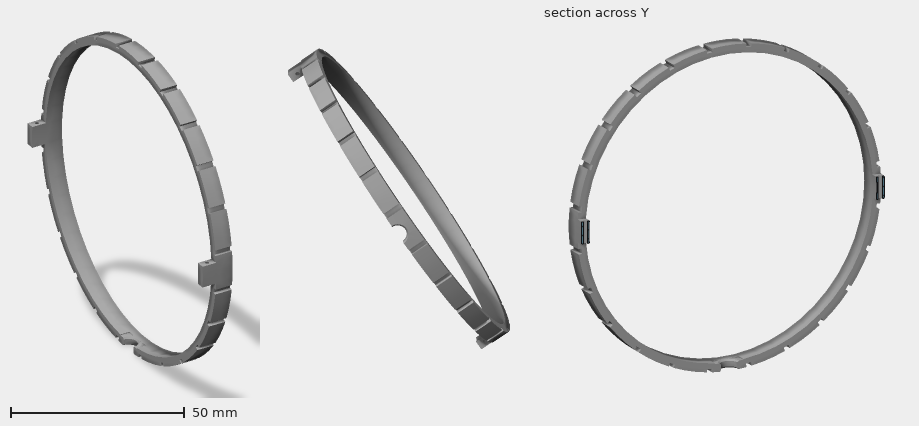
import cadquery as cq

OUTER_RADIUS = 49.1
INNER_RADIUS = 46.4
RING_WIDTH = 5.5

GROOVE_COUNT = 24
GROOVE_WIDTH = 1.7
GROOVE_DEPTH = 1.1

TAB_LENGTH = 4.5
TAB_HEIGHT = 6.9
PIN_HOLE_DIAMETER = 1.2
PIN_HOLE_FROM_END = 2.4
PIN_HOLE_RADIAL = 47.6

NOTCH_RADIUS = 2.65
NOTCH_CHAMFER = 0.5
SEAT_LENGTH = 9.2
SEAT_DEPTH = 3.0
SEAT_LEVEL = -INNER_RADIUS

WALL = OUTER_RADIUS - INNER_RADIUS


def annulus(front, back):
    """Plain ring between two Y positions."""
    return (
        cq.Workplane("XZ", origin=(0, back, 0))
        .circle(OUTER_RADIUS)
        .circle(INNER_RADIUS)
        .extrude(back - front)
    )


def grooves():
    """Evenly spaced straight cutters, offset half a pitch from the X and Z axes."""
    pitch = 360 / GROOVE_COUNT
    return (
        cq.Workplane("XZ", origin=(0, RING_WIDTH, 0))
        .polarArray(OUTER_RADIUS, pitch / 2, 360, GROOVE_COUNT)
        .rect(2 * GROOVE_DEPTH, GROOVE_WIDTH)
        .extrude(RING_WIDTH)
    )


def tabs():
    """Two forward extensions of the ring wall, each with a vertical pin hole."""
    band = cq.Workplane("XY").box(2 * OUTER_RADIUS, 2 * TAB_LENGTH, TAB_HEIGHT)
    holes = (
        cq.Workplane("XY", origin=(0, PIN_HOLE_FROM_END - TAB_LENGTH, -TAB_HEIGHT / 2))
        .pushPoints([(-PIN_HOLE_RADIAL, 0), (PIN_HOLE_RADIAL, 0)])
        .circle(PIN_HOLE_DIAMETER / 2)
        .extrude(TAB_HEIGHT)
    )
    return annulus(-TAB_LENGTH, 0).intersect(band).cut(holes)


def notch():
    """Flat seat on the inner surface and a vertical hole chamfered at both ends."""
    seat = cq.Workplane("XY", origin=(0, 0, SEAT_LEVEL)).rect(SEAT_LENGTH, 2 * SEAT_DEPTH)
    seat = seat.extrude(WALL)
    rim_radius = NOTCH_RADIUS + NOTCH_CHAMFER
    hole = (
        cq.Workplane("XZ")
        .moveTo(0, -OUTER_RADIUS)
        .lineTo(rim_radius, -OUTER_RADIUS)
        .lineTo(NOTCH_RADIUS, -OUTER_RADIUS + NOTCH_CHAMFER)
        .lineTo(NOTCH_RADIUS, SEAT_LEVEL - NOTCH_CHAMFER)
        .lineTo(rim_radius, SEAT_LEVEL)
        .lineTo(0, SEAT_LEVEL)
        .close()
        .revolve(360, (0, 0, 0), (0, 1, 0))
    )
    return seat.union(hole)


result = annulus(0, RING_WIDTH).cut(grooves()).union(tabs()).cut(notch())